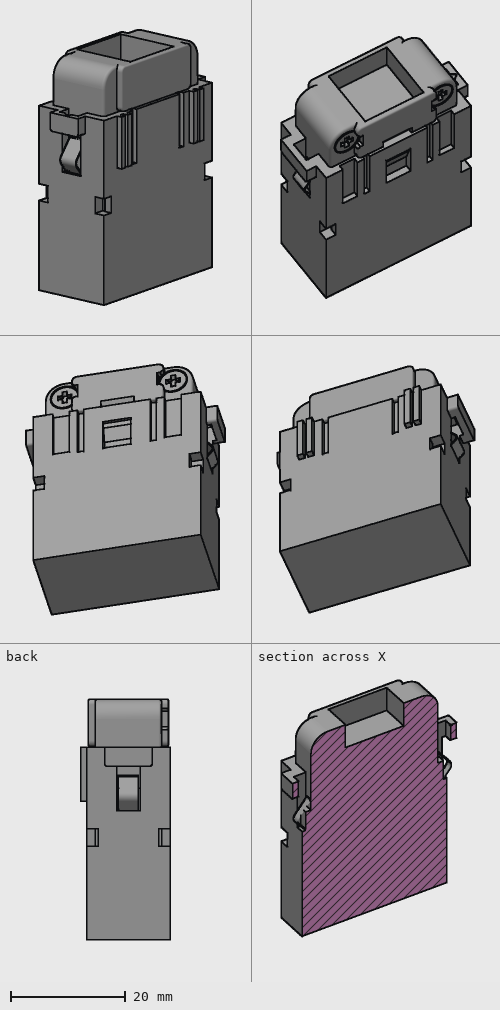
import cadquery as cq
import math

BODY_X = 14.6
BODY_Y = 29.95
BODY_Z = 33.55
SIDE = BODY_X / 2
END = BODY_Y / 2

TAB_REACH = 2.0
TAB_HEIGHT = 3.35
FRONT_TAB_WIDTH = 6.2
BACK_TAB_WIDTH = 8.3
TAB_RADIUS = 0.5
ARROW_WIDTH = 1.6
ARROW_LENGTH = 1.0
ARROW_DEPTH = 0.2

SLOT_WIDTH = 4.1
SLOT_FLOOR = 22.5
SLOT_UPPER_DEPTH = 1.8
SLOT_LOWER_DEPTH = 0.7
SLOT_LEDGE = 26.43
SLOT_INTO_TAB = 0.7

SPRING_WIDTH = 3.52
SPRING_THICKNESS = 0.2
SPRING_RADIUS = 1.17
SPRING_SLOPE = math.radians(50)
SPRING_ROOT = 0.1
SPRING_REACH = 1.0
SPRING_Z = 24.9

NOTCH_SIZE = 2.0
NOTCH_BOTTOM = 16.3
NOTCH_HEIGHT = 3.0
NOTCH_STEP_WIDTH = 0.5
NOTCH_STEP_DEPTH = 0.15

RIB_REACH = 1.0
RIB_WIDTH = 1.1
RIB_BOTTOM = 24.12
RIB_PAIR_Y = 10.0
RIB_SPACING = 1.68
KEYWAY_WIDTH = 3.0
NARROW_SLOT_WIDTH = 1.1
NARROW_SLOT_Y = 6.5
NARROW_SLOT_BOTTOM = 23.8

WINDOW_WIDTH = 5.05
WINDOW_BOTTOM = NARROW_SLOT_BOTTOM
WINDOW_TOP = 29.95
WINDOW_SLOPE_TOP = 28.9
WINDOW_SLOPE_BOTTOM = 26.35
WINDOW_SHALLOW = 0.5
WINDOW_DEEP = 1.4

TOTAL_Z = 41.95
CAP_X = 11.6
CAP_Y = 26.35
CAP_RADIUS = 3.5
CAP_EDGE_RADIUS = 0.55
CAP_FACE = CAP_X / 2

PLATE_FACE = 7.0
PLATE_BOTTOM = 33.7
PLATE_RADIUS = 0.95
PLATE_EDGE_RADIUS = 0.35
LEFT_PLATE_LENGTH = 16.35
RIGHT_PLATE_LENGTH = 19.3

POCKET_X = 11.9
POCKET_Y = 12.05
POCKET_DEPTH = 4.85

PRY_WIDTH = 5.95
PRY_TOP = 35.15

SCREW_Y = CAP_Y / 2 - CAP_RADIUS
SCREW_Z = TOTAL_Z - CAP_RADIUS
SCREW_RADIUS = 2.5
SCREW_GAP = 0.13
CROSS_SPAN = 2.5
CROSS_WIDTH = 0.85
CROSS_FLOOR_SPAN = 1.6
CROSS_DEPTH = 0.67
RELIEF_HEIGHT = 2.7
RELIEF_INNER_Y = 7.1
RELIEF_FLARE = 0.5


def block(x0, x1, y0, y1, z0, z1):
    """Box between two opposite corners."""
    return cq.Workplane("XY").box(x1 - x0, y1 - y0, z1 - z0, centered=False).translate((x0, y0, z0))


def end_tab(width):
    """Tab on the -Y end with its two lower edges rounded."""
    tab = block(-width / 2, width / 2, -END - TAB_REACH, -END, BODY_Z - TAB_HEIGHT, BODY_Z)
    return tab.edges("|Y and <Z").fillet(TAB_RADIUS)


def spring_slot():
    """Slot on the -Y end, deeper above its ledge and open through the top."""
    half = SLOT_WIDTH / 2
    mouth = -END - SLOT_INTO_TAB
    lower = block(-half, half, mouth, -END + SLOT_LOWER_DEPTH, SLOT_FLOOR, SLOT_LEDGE)
    upper = block(-half, half, mouth, -END + SLOT_UPPER_DEPTH, SLOT_LEDGE, BODY_Z)
    return lower.union(upper)


def spring():
    """Bent strip whose bend bulges out of the -Y end and whose arms run into the slot walls."""
    bend_y = -END - SPRING_REACH + SPRING_RADIUS
    upper_root = -END + SLOT_UPPER_DEPTH + SPRING_ROOT
    lower_root = -END + SLOT_LOWER_DEPTH + SPRING_ROOT

    def tangent_point(radius, side):
        """Where the bend meets its upper (side = 1) or lower (side = -1) arm."""
        return (bend_y - radius * math.sin(SPRING_SLOPE), SPRING_Z + side * radius * math.cos(SPRING_SLOPE))

    def arm_end(radius, side, root_y):
        """Where an arm is embedded in its wall."""
        y, z = tangent_point(radius, side)
        return (root_y, z + side * (root_y - y) * math.tan(SPRING_SLOPE))

    outer = SPRING_RADIUS
    inner = SPRING_RADIUS - SPRING_THICKNESS
    return (
        cq.Workplane("YZ")
        .moveTo(*arm_end(outer, 1, upper_root))
        .lineTo(*tangent_point(outer, 1))
        .threePointArc((bend_y - outer, SPRING_Z), tangent_point(outer, -1))
        .lineTo(*arm_end(outer, -1, lower_root))
        .lineTo(*arm_end(inner, -1, lower_root))
        .lineTo(*tangent_point(inner, -1))
        .threePointArc((bend_y - inner, SPRING_Z), tangent_point(inner, 1))
        .lineTo(*arm_end(inner, 1, upper_root))
        .close()
        .extrude(SPRING_WIDTH / 2, both=True)
    )


def corner_notch(x_sign, y_sign):
    """Square notch across a vertical edge, slightly deeper along its inner wall."""
    top = NOTCH_BOTTOM + NOTCH_HEIGHT
    inner_x = SIDE - NOTCH_SIZE
    inner_y = END - NOTCH_SIZE
    notch = block(inner_x, SIDE, inner_y, END, NOTCH_BOTTOM, top)
    step = block(inner_x, inner_x + NOTCH_STEP_WIDTH, inner_y - NOTCH_STEP_DEPTH, inner_y, NOTCH_BOTTOM, top)
    notch = notch.union(step)
    if x_sign < 0:
        notch = notch.mirror("YZ")
    if y_sign < 0:
        notch = notch.mirror("XZ")
    return notch


def latch_window():
    """Window whose back wall slopes from a shallow top to a deeper bottom."""
    return (
        cq.Workplane("XZ")
        .polyline([
            (-SIDE, WINDOW_BOTTOM),
            (-SIDE + WINDOW_DEEP, WINDOW_BOTTOM),
            (-SIDE + WINDOW_DEEP, WINDOW_SLOPE_BOTTOM),
            (-SIDE + WINDOW_SHALLOW, WINDOW_SLOPE_TOP),
            (-SIDE + WINDOW_SHALLOW, WINDOW_TOP),
            (-SIDE, WINDOW_TOP),
        ])
        .close()
        .extrude(WINDOW_WIDTH / 2, both=True)
    )


def tab_arrow():
    """Shallow arrow in the top of the front tab, pointing outwards from the slot."""
    base_y = -END - SLOT_INTO_TAB
    return (
        cq.Workplane("XY", origin=(0, 0, BODY_Z - ARROW_DEPTH))
        .polyline([(-ARROW_WIDTH / 2, base_y), (ARROW_WIDTH / 2, base_y), (0, base_y - ARROW_LENGTH)])
        .close()
        .extrude(ARROW_DEPTH)
    )


def housing():
    body = block(-SIDE, SIDE, -END, END, 0, BODY_Z)
    body = body.union(end_tab(FRONT_TAB_WIDTH))
    body = body.union(end_tab(BACK_TAB_WIDTH).mirror("XZ"))
    body = body.cut(spring_slot()).cut(spring_slot().mirror("XZ"))
    body = body.cut(tab_arrow()).cut(latch_window())

    for y_sign in (-1, 1):
        for x_sign in (-1, 1):
            body = body.cut(corner_notch(x_sign, y_sign))
            slot_x = x_sign * (SIDE - RIB_REACH / 2)
            slot_y = y_sign * NARROW_SLOT_Y
            body = body.cut(block(
                slot_x - RIB_REACH / 2, slot_x + RIB_REACH / 2,
                slot_y - NARROW_SLOT_WIDTH / 2, slot_y + NARROW_SLOT_WIDTH / 2,
                NARROW_SLOT_BOTTOM, BODY_Z,
            ))

        pair_y = y_sign * RIB_PAIR_Y
        body = body.cut(block(
            -SIDE, -SIDE + RIB_REACH,
            pair_y - KEYWAY_WIDTH / 2, pair_y + KEYWAY_WIDTH / 2,
            RIB_BOTTOM, BODY_Z,
        ))
        for rib_y in (pair_y - RIB_SPACING / 2, pair_y + RIB_SPACING / 2):
            body = body.union(block(
                SIDE, SIDE + RIB_REACH,
                rib_y - RIB_WIDTH / 2, rib_y + RIB_WIDTH / 2,
                RIB_BOTTOM, BODY_Z,
            ))

    return body.union(spring()).union(spring().mirror("XZ"))


def side_plate(length):
    """Plate on the -X side of the cap, with rounded corners and a rounded rim."""
    plate = block(-PLATE_FACE, 0, -length / 2, length / 2, PLATE_BOTTOM, TOTAL_Z)
    return plate.edges("|X").fillet(PLATE_RADIUS).faces("<X").edges().fillet(PLATE_EDGE_RADIUS)


def screw_relief():
    """Flared notch in the left plate that clears the screw head on the +Y side."""
    half = RELIEF_HEIGHT / 2
    plate_end = LEFT_PLATE_LENGTH / 2
    flare_y = plate_end - RELIEF_FLARE
    return (
        cq.Workplane("YZ", origin=(-PLATE_FACE, 0, SCREW_Z))
        .polyline([
            (RELIEF_INNER_Y, -half),
            (flare_y, -half),
            (plate_end, -half - RELIEF_FLARE),
            (plate_end, half + RELIEF_FLARE),
            (flare_y, half),
            (RELIEF_INNER_Y, half),
        ])
        .close()
        .extrude(PLATE_FACE - CAP_FACE)
    )


def screw_recess():
    """Ring gap around the screw head and the cross in it, on the +Y side."""
    ring = (
        cq.Workplane("YZ", origin=(-CAP_FACE, SCREW_Y, SCREW_Z))
        .circle(SCREW_RADIUS)
        .circle(SCREW_RADIUS - SCREW_GAP)
        .extrude(SCREW_GAP)
    )
    arm = (
        cq.Workplane("XY", origin=(-CAP_FACE, SCREW_Y, SCREW_Z))
        .polyline([
            (0, -CROSS_SPAN / 2),
            (CROSS_DEPTH, -CROSS_FLOOR_SPAN / 2),
            (CROSS_DEPTH, CROSS_FLOOR_SPAN / 2),
            (0, CROSS_SPAN / 2),
        ])
        .close()
        .extrude(CROSS_WIDTH / 2, both=True)
    )
    upright_arm = arm.rotate((0, SCREW_Y, SCREW_Z), (1, SCREW_Y, SCREW_Z), 90)
    return ring.union(arm).union(upright_arm)


def pry_notch():
    """Wedge under the left plate whose roof falls inwards to the cap face."""
    return (
        cq.Workplane("XZ")
        .polyline([(-PLATE_FACE, BODY_Z), (-CAP_FACE, BODY_Z), (-PLATE_FACE, PRY_TOP)])
        .close()
        .extrude(PRY_WIDTH / 2, both=True)
    )


def cap():
    core = block(-CAP_FACE, CAP_FACE, -CAP_Y / 2, CAP_Y / 2, BODY_Z, TOTAL_Z)
    core = core.edges("|X and >Z").fillet(CAP_RADIUS)
    core = core.faces("<X or >X").edges("not <Z").fillet(CAP_EDGE_RADIUS)

    left_plate = side_plate(LEFT_PLATE_LENGTH).cut(pry_notch())
    left_plate = left_plate.cut(screw_relief()).cut(screw_relief().mirror("XZ"))
    right_plate = side_plate(RIGHT_PLATE_LENGTH).mirror("YZ")

    body = core.union(left_plate).union(right_plate)
    body = body.cut(screw_recess()).cut(screw_recess().mirror("XZ"))
    return body.cut(block(
        -POCKET_X / 2, POCKET_X / 2,
        -POCKET_Y / 2, POCKET_Y / 2,
        TOTAL_Z - POCKET_DEPTH, TOTAL_Z,
    ))


result = housing().union(cap())